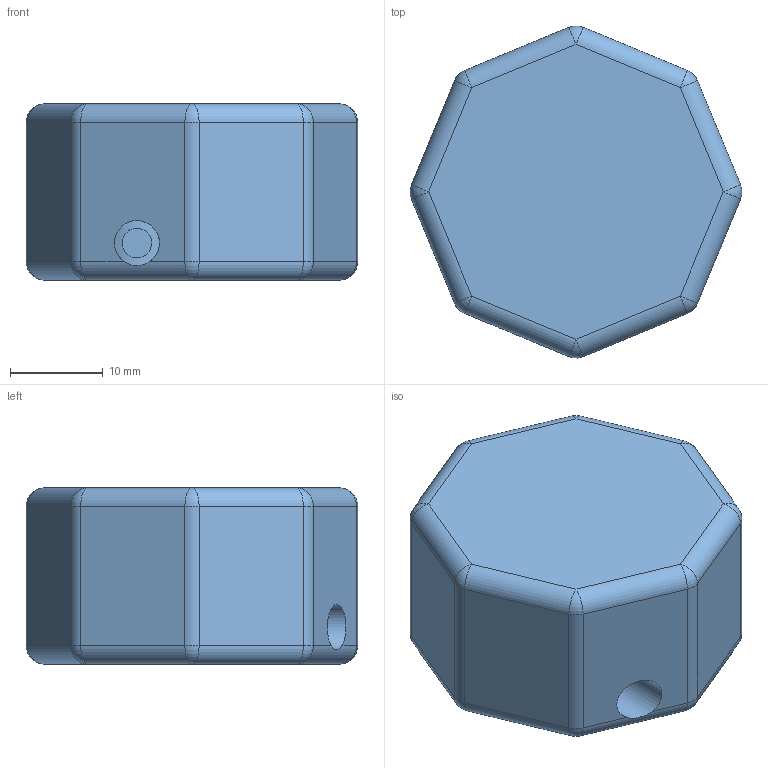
import cadquery as cq

width = 35.75
height = 19.0
edge_radius = 2.0
side_count = 8

hole_x = -5.93
hole_z = 4.0
hole_diameter = 4.85
pilot_diameter = 3.2
pilot_depth = 4.0

end_wall_x = -6.4
end_wall_radius = 5.0
end_wall_crown_y = -9.0


def rounded_octagon():
    """Octagonal prism whose upright, top and bottom edges share one radius."""
    flat_octagon_diameter = width - 2 * edge_radius
    return (
        cq.Workplane("XY")
        .polygon(side_count, flat_octagon_diameter)
        .offset2D(edge_radius, "arc")
        .extrude(height)
        .faces("<Z or >Z")
        .edges()
        .fillet(edge_radius)
    )


def bore(diameter, end_y):
    """Cylinder along Y from outside the front of the body to end_y."""
    front_y = -width / 2
    return (
        cq.Workplane("XZ", origin=(hole_x, front_y, hole_z))
        .circle(diameter / 2)
        .extrude(front_y - end_y)
    )


def stepped_hole():
    """Wide bore ending on the bulging wall, with a narrower flat-ended bore past it."""
    end_wall_centre_y = end_wall_crown_y + end_wall_radius
    end_wall = (
        cq.Workplane("XY")
        .center(end_wall_x, end_wall_centre_y)
        .circle(end_wall_radius)
        .extrude(height)
    )
    wide_bore = bore(hole_diameter, end_wall_centre_y).cut(end_wall)
    pilot_bore = bore(pilot_diameter, end_wall_crown_y + pilot_depth)
    return wide_bore.union(pilot_bore)


result = rounded_octagon().cut(stepped_hole())